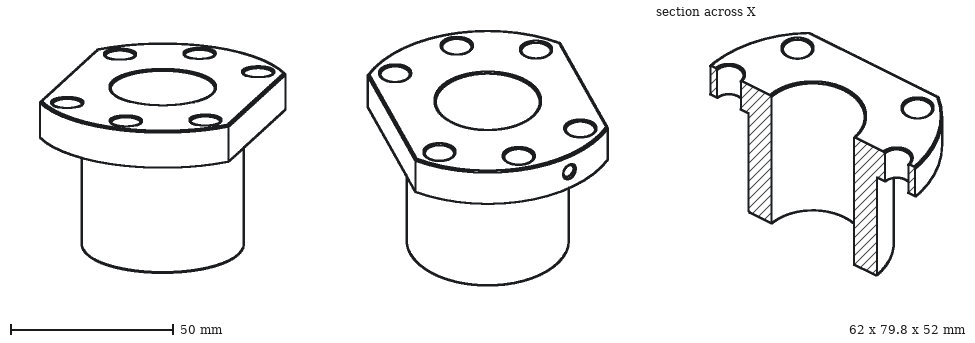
import cadquery as cq
import math

flange_diameter = 79.75
flange_width = 62.0
flange_thickness = 12.0
overall_height = 52.0
body_diameter = 50.0
bore_diameter = 32.0
edge_chamfer = 0.5

bolt_diameter = 9.0
bolt_circle_diameter = 65.0
bolt_pitch_angle = 44.3
bolt_angles = [side + step * bolt_pitch_angle for side in (90.0, 270.0) for step in (-1, 0, 1)]

port_diameter = 4.0
port_mouth_diameter = 5.2
port_depth = 10.0
port_angle = 90.0 + bolt_pitch_angle / 2

flange_bottom = overall_height - flange_thickness
port_height = flange_bottom + flange_thickness / 2


def make_flange():
    """Round flange with two flats parallel to Y, chamfered around the top edge."""
    disc = cq.Workplane("XY").circle(flange_diameter / 2).extrude(flange_thickness)
    band = cq.Workplane("XY").rect(flange_width, 2 * flange_diameter).extrude(flange_thickness)
    flange = disc.intersect(band).faces(">Z").chamfer(edge_chamfer)
    return flange.translate((0, 0, flange_bottom))


def make_body():
    """Cylindrical nut body, chamfered at its free end."""
    body = cq.Workplane("XY").circle(body_diameter / 2).extrude(flange_bottom)
    return body.faces("<Z").edges().chamfer(edge_chamfer)


def make_through_hole(diameter):
    """Vertical cutter on the Z axis with a chamfered rim at the flange top."""
    radius = diameter / 2
    rim_radius = radius + edge_chamfer
    profile = [
        (0, 0),
        (radius, 0),
        (radius, overall_height - edge_chamfer),
        (rim_radius, overall_height),
        (0, overall_height),
    ]
    return cq.Workplane("XZ").polyline(profile).close().revolve(360, (0, 0), (0, 1))


def make_oil_port():
    """Blind radial cutter with a countersunk mouth on the flange rim."""
    rim = flange_diameter / 2
    mouth_depth = (port_mouth_diameter - port_diameter) / 2
    profile = [
        (rim - port_depth, 0),
        (rim - port_depth, port_diameter / 2),
        (rim - mouth_depth, port_diameter / 2),
        (rim, port_mouth_diameter / 2),
        (rim + mouth_depth, port_mouth_diameter / 2 + mouth_depth),
        (rim + mouth_depth, 0),
    ]
    port = cq.Workplane("XY").polyline(profile).close().revolve(360, (0, 0), (1, 0))
    return port.rotate((0, 0, 0), (0, 0, 1), port_angle).translate((0, 0, port_height))


result = make_body().union(make_flange())
result = result.cut(make_through_hole(bore_diameter))

for angle in bolt_angles:
    hole_x = bolt_circle_diameter / 2 * math.cos(math.radians(angle))
    hole_y = bolt_circle_diameter / 2 * math.sin(math.radians(angle))
    result = result.cut(make_through_hole(bolt_diameter).translate((hole_x, hole_y, 0)))

result = result.cut(make_oil_port())